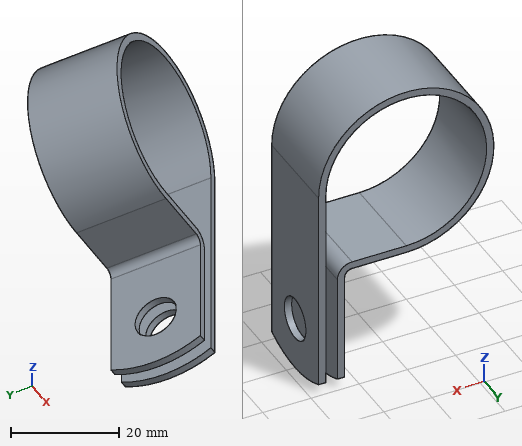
import cadquery as cq
import math

outer_diameter = 36.37
thickness = 1.52
strap_width = 19.05
total_height = 62.61
tab_gap = 2.38
bend_inner_radius = thickness
hole_diameter = 8.73
hole_to_tip = 11.11
tip_radius = 22.2

outer_radius = outer_diameter / 2
inner_radius = outer_radius - thickness
bend_outer_radius = bend_inner_radius + thickness
bottom_z = outer_radius - total_height
long_tab_inner_x = inner_radius
short_tab_right_x = long_tab_inner_x - tab_gap
short_tab_left_x = short_tab_right_x - thickness
bend_center_x = short_tab_right_x - bend_outer_radius
bend_center_z = -inner_radius - bend_outer_radius
hole_z = bottom_z + hole_to_tip
tip_corner_z = bottom_z + tip_radius - math.sqrt(tip_radius**2 - (strap_width / 2) ** 2)


def bend_midpoint(radius):
    """Point halfway round the quarter bend at the given radius."""
    offset = radius * math.sqrt(0.5)
    return (bend_center_x + offset, bend_center_z + offset)


def loop_midpoint(radius):
    """Point halfway round the three-quarter loop, at its upper left."""
    offset = radius * math.sqrt(0.5)
    return (-offset, offset)


def make_strap():
    """Strap of constant thickness: long tab, loop, flat shelf, bend and short tab."""
    return (
        cq.Workplane("XZ")
        .moveTo(outer_radius, bottom_z)
        .lineTo(outer_radius, 0)
        .threePointArc(loop_midpoint(outer_radius), (0, -outer_radius))
        .lineTo(bend_center_x, -outer_radius)
        .threePointArc(bend_midpoint(bend_inner_radius), (short_tab_left_x, bend_center_z))
        .lineTo(short_tab_left_x, bottom_z)
        .lineTo(short_tab_right_x, bottom_z)
        .lineTo(short_tab_right_x, bend_center_z)
        .threePointArc(bend_midpoint(bend_outer_radius), (bend_center_x, -inner_radius))
        .lineTo(0, -inner_radius)
        .threePointArc(loop_midpoint(inner_radius), (inner_radius, 0))
        .lineTo(inner_radius, bottom_z)
        .close()
        .extrude(strap_width / 2, both=True)
    )


def make_tip_envelope():
    """Block over the whole strap whose lower end is the rounded tab outline."""
    half_width = strap_width / 2
    return (
        cq.Workplane("YZ")
        .moveTo(-half_width, outer_radius)
        .lineTo(-half_width, tip_corner_z)
        .threePointArc((0, bottom_z), (half_width, tip_corner_z))
        .lineTo(half_width, outer_radius)
        .close()
        .extrude(outer_radius, both=True)
    )


def make_bolt_hole():
    """Cylinder along X that passes through both tabs."""
    return (
        cq.Workplane("YZ")
        .center(0, hole_z)
        .circle(hole_diameter / 2)
        .extrude(outer_radius, both=True)
    )


result = make_strap().intersect(make_tip_envelope()).cut(make_bolt_hole())